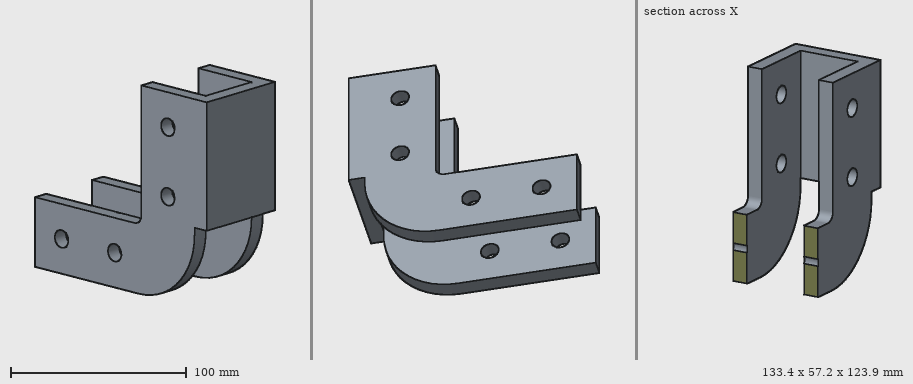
import cadquery as cq

length = 133.4
width = 57.2
height = 123.9
thickness = 9.5
arm_width = 41.3
web_height = 76.1
inner_radius = 5.3
outer_radius = 43.2
hole_diameter = 10.4
hole_spacing = 41.2

arm_length = length - thickness
leg_inner_x = arm_length - arm_width
hole_end_distance = arm_width / 2


def elbow_plate(y_start):
    """L-shaped side plate with a rounded outer bend and a small inner fillet."""
    bend_x = arm_length - outer_radius
    diagonal = outer_radius * 0.5**0.5
    inner_x = leg_inner_x - inner_radius
    inner_z = arm_width + inner_radius
    inner_diagonal = inner_radius * 0.5**0.5
    profile = (
        cq.Workplane("XZ", origin=(0, y_start, 0))
        .moveTo(0, 0)
        .lineTo(bend_x, 0)
        .threePointArc((bend_x + diagonal, outer_radius - diagonal), (arm_length, outer_radius))
        .lineTo(arm_length, height)
        .lineTo(leg_inner_x, height)
        .lineTo(leg_inner_x, inner_z)
        .threePointArc((inner_x + inner_diagonal, inner_z - inner_diagonal), (inner_x, arm_width))
        .lineTo(0, arm_width)
        .close()
    )
    return profile.extrude(-thickness)


web = cq.Workplane("XY").box(thickness, width, web_height, centered=False)
web = web.translate((arm_length, 0, height - web_height))

leg_center_x = arm_length - arm_width / 2
hole_centers = []
for index in range(2):
    offset = hole_end_distance + index * hole_spacing
    hole_centers.append((offset, arm_width / 2))
    hole_centers.append((leg_center_x, height - offset))
holes = cq.Workplane("XZ").pushPoints(hole_centers).circle(hole_diameter / 2).extrude(-width)

result = elbow_plate(0).union(elbow_plate(width - thickness)).union(web).cut(holes)